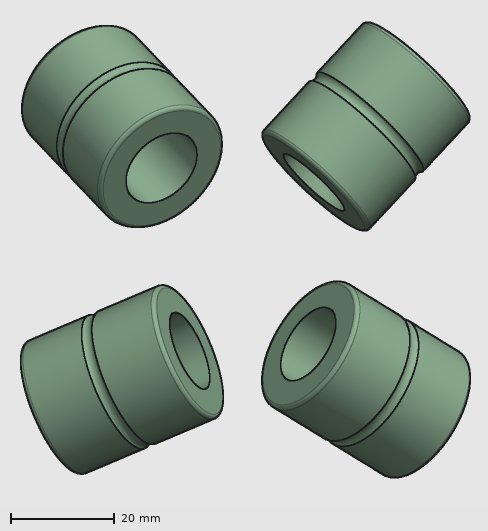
import cadquery as cq

length = 30.0
outer_diameter = 28.0
bore_diameter = 16.0
edge_radius = 0.8
groove_width = 2.28
groove_depth = 0.5

outer_radius = outer_diameter / 2
half_groove = groove_width / 2


def make_sleeve():
    """Hollow cylinder with rounded outer rims and a plain through bore."""
    body = cq.Workplane("YZ").circle(outer_radius).extrude(length / 2, both=True)
    body = body.edges("%CIRCLE").fillet(edge_radius)
    bore = cq.Workplane("YZ").circle(bore_diameter / 2).extrude(length / 2, both=True)
    return body.cut(bore)


def make_groove():
    """Ring with a circular-arc floor, centred along the length."""
    clearance_radius = outer_radius + groove_depth
    return (
        cq.Workplane("XY")
        .moveTo(-half_groove, clearance_radius)
        .lineTo(-half_groove, outer_radius)
        .threePointArc((0, outer_radius - groove_depth), (half_groove, outer_radius))
        .lineTo(half_groove, clearance_radius)
        .close()
        .revolve(360, (0, 0, 0), (1, 0, 0))
    )


result = make_sleeve().cut(make_groove())